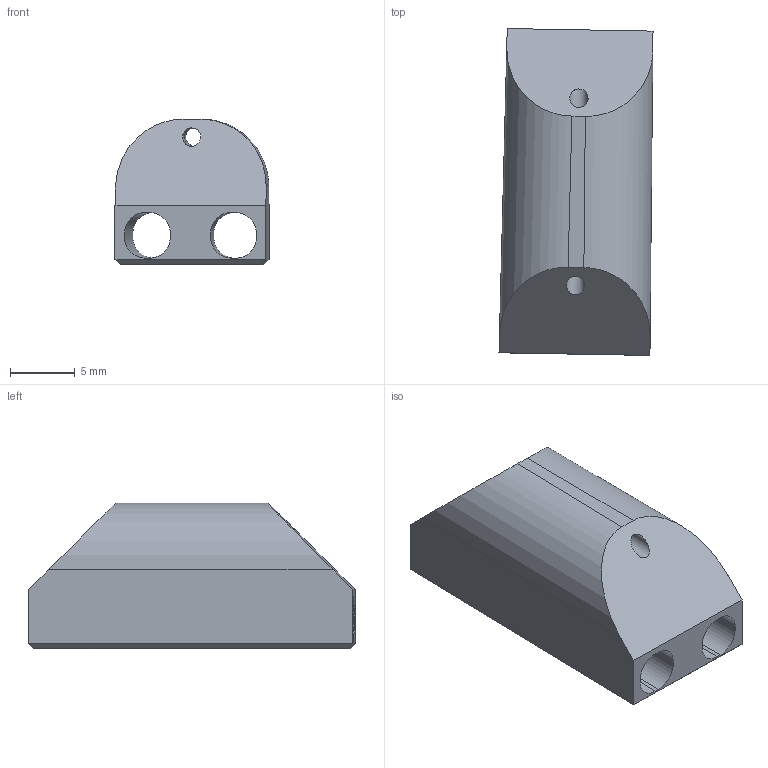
import cadquery as cq
import math

body_length = 25.11
front_width = 11.69
back_width = 11.29
body_height = 11.3
body_turn = -1.0
shoulder_radius = 5.18
end_face_height = 4.6
base_chamfer = 0.4

bore_size = 3.54
bore_flat = 0.32
bore_height = 2.3
bore_wall = 0.74

wire_hole_diameter = 1.42
wire_hole_height = 9.9

half_length = body_length / 2
side_taper = math.degrees(math.atan((front_width - back_width) / 2 / body_length))
mid_width = (front_width + back_width) / 2


def make_body():
    """Tapered block with rounded shoulders and a chamfered base."""
    block = (
        cq.Workplane("XY")
        .polyline([
            (-front_width / 2, -half_length),
            (front_width / 2, -half_length),
            (back_width / 2, half_length),
            (-back_width / 2, half_length),
        ])
        .close()
        .extrude(body_height)
    )
    block = block.faces("<Z").chamfer(base_chamfer)
    long_top_edges = block.faces(">Z").edges("<X or >X")
    return long_top_edges.fillet(shoulder_radius)


def make_end_slope(end):
    """Wedge above the 45 degree slope at one end (-1 front, +1 back)."""
    slope_rise = body_height - end_face_height
    return (
        cq.Workplane("YZ")
        .polyline([
            (end * half_length, end_face_height),
            (end * half_length, body_height),
            (end * (half_length - slope_rise), body_height),
        ])
        .close()
        .extrude(front_width / 2, both=True)
    )


def make_side_bore(side):
    """Rounded square passage beside one wall (-1 left, +1 right)."""
    bore_offset = mid_width / 2 - bore_wall - bore_size / 2
    corner_radius = (bore_size - bore_flat) / 2
    return (
        cq.Workplane("XZ")
        .rect(bore_size, bore_size)
        .extrude(body_length, both=True)
        .edges("|Y")
        .fillet(corner_radius)
        .rotate((0, 0, 0), (0, 0, 1), side * side_taper)
        .translate((side * bore_offset, 0, bore_height))
    )


def make_wire_hole():
    """Round passage along the centre line, near the top."""
    return (
        cq.Workplane("XZ")
        .center(0, wire_hole_height)
        .circle(wire_hole_diameter / 2)
        .extrude(body_length, both=True)
    )


result = make_body()

for end in (-1, 1):
    result = result.cut(make_end_slope(end))

for side in (-1, 1):
    result = result.cut(make_side_bore(side))

result = result.cut(make_wire_hole())
result = result.rotate((0, 0, 0), (0, 0, 1), body_turn)